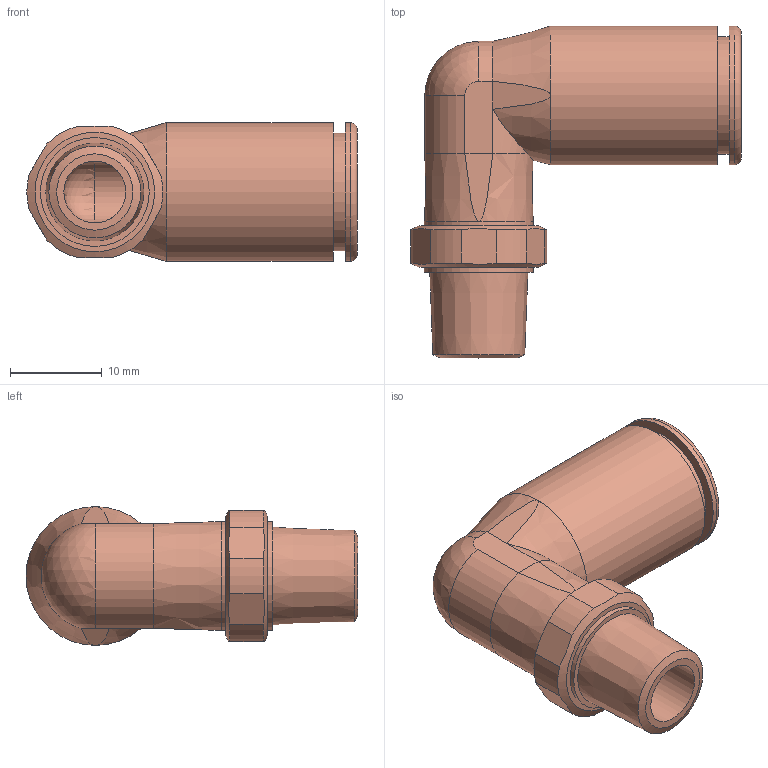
import cadquery as cq
import math


ELBOW_RADIUS = 5.9
FLAT_HALF_HEIGHT = 5.7
FLAT_HALF_WIDTH = math.sqrt(ELBOW_RADIUS**2 - FLAT_HALF_HEIGHT**2)
BORE_RADIUS = 3.37

SOCKET_RADIUS = 7.55
ARM_CONE_START = FLAT_HALF_WIDTH
ARM_CONE_END = 7.8
ARM_LENGTH = 28.55
FLANGE_WIDTH = 1.3
GROOVE_WIDTH = 1.3
GROOVE_RADIUS = 6.4
FLANGE_FILLET = 0.75
GROOVE_END = ARM_LENGTH - FLANGE_WIDTH
GROOVE_START = GROOVE_END - GROOVE_WIDTH

STEM_CONE_START = 6.33
STEM_CONE_END = 13.72
COLLAR_RADIUS = 5.92
NUT_START = 14.17
NUT_HEIGHT = 4.55
NUT_END = NUT_START + NUT_HEIGHT
COLLAR_STEP = 0.55
COLLAR_END = NUT_END + COLLAR_STEP
STEM_LENGTH = 28.57

NUT_ACROSS_FLATS = 14.3
NUT_CORNER_RADIUS = 7.4
NUT_FACE_RADIUS = 6.5
NUT_CHAMFER_HEIGHT = 0.45

THREAD_BASE_RADIUS = 5.33
THREAD_TIP_RADIUS = 5.0
TIP_FACE_RADIUS = 4.15
TIP_CHAMFER_HEIGHT = 0.35


def revolve_about_x(points):
    """Solid of revolution from (distance along +X, radius) points."""
    return cq.Workplane("XY").polyline(points).close().revolve(360, (0, 0, 0), (1, 0, 0))


def revolve_about_y(points):
    """Solid of revolution from (distance along -Y, radius) points."""
    outline = [(radius, -distance) for distance, radius in points]
    return cq.Workplane("XY").polyline(outline).close().revolve(360, (0, 0, 0), (0, 1, 0))


def flat_sided_slab(plane, cone_start, cone_end, end_half_height):
    """Slab with level sides up to cone_start that open out to end_half_height at cone_end."""
    upper = [
        (-ELBOW_RADIUS, FLAT_HALF_HEIGHT),
        (cone_start, FLAT_HALF_HEIGHT),
        (cone_end, end_half_height),
    ]
    lower = [(distance, -height) for distance, height in reversed(upper)]
    return (
        cq.Workplane(plane)
        .polyline(upper + lower)
        .close()
        .extrude(SOCKET_RADIUS, both=True)
    )


def make_arm_neck():
    neck = revolve_about_x([
        (0, 0),
        (0, ELBOW_RADIUS),
        (ARM_CONE_START, ELBOW_RADIUS),
        (ARM_CONE_END, SOCKET_RADIUS),
        (ARM_CONE_END, 0),
    ])
    return neck.intersect(flat_sided_slab("XZ", ARM_CONE_START, ARM_CONE_END, SOCKET_RADIUS))


def make_stem_neck():
    neck = revolve_about_y([
        (0, 0),
        (0, ELBOW_RADIUS),
        (STEM_CONE_START, ELBOW_RADIUS),
        (STEM_CONE_END, COLLAR_RADIUS),
        (STEM_CONE_END, 0),
    ])
    stem_plane = cq.Plane(origin=(0, 0, 0), xDir=(0, -1, 0), normal=(-1, 0, 0))
    return neck.intersect(flat_sided_slab(stem_plane, STEM_CONE_START, STEM_CONE_END, COLLAR_RADIUS))


def make_corner():
    ball = cq.Workplane("XY").sphere(ELBOW_RADIUS)
    slab = cq.Workplane("XY").box(2 * ELBOW_RADIUS, 2 * ELBOW_RADIUS, 2 * FLAT_HALF_HEIGHT)
    return ball.intersect(slab)


def make_socket():
    barrel = revolve_about_x([
        (ARM_CONE_END, 0),
        (ARM_CONE_END, SOCKET_RADIUS),
        (GROOVE_START, SOCKET_RADIUS),
        (GROOVE_START, GROOVE_RADIUS),
        (GROOVE_END, GROOVE_RADIUS),
        (GROOVE_END, SOCKET_RADIUS),
        (ARM_LENGTH, SOCKET_RADIUS),
        (ARM_LENGTH, 0),
    ])
    return barrel.faces(">X").edges().fillet(FLANGE_FILLET)


def make_collar_and_thread():
    return revolve_about_y([
        (STEM_CONE_END, 0),
        (STEM_CONE_END, COLLAR_RADIUS),
        (COLLAR_END, COLLAR_RADIUS),
        (COLLAR_END, THREAD_BASE_RADIUS),
        (STEM_LENGTH - TIP_CHAMFER_HEIGHT, THREAD_TIP_RADIUS),
        (STEM_LENGTH, TIP_FACE_RADIUS),
        (STEM_LENGTH, 0),
    ])


def make_nut():
    across_corners = NUT_ACROSS_FLATS / math.cos(math.radians(30))
    hexagon = (
        cq.Workplane("XZ", origin=(0, -NUT_START, 0))
        .polygon(6, across_corners)
        .extrude(NUT_HEIGHT)
    )
    rounding = revolve_about_y([
        (NUT_START, 0),
        (NUT_START, NUT_FACE_RADIUS),
        (NUT_START + NUT_CHAMFER_HEIGHT, NUT_CORNER_RADIUS),
        (NUT_END - NUT_CHAMFER_HEIGHT, NUT_CORNER_RADIUS),
        (NUT_END, NUT_FACE_RADIUS),
        (NUT_END, 0),
    ])
    return hexagon.intersect(rounding)


def make_bore():
    """L-shaped passage through both ends with a spherical corner."""
    stem_bore = cq.Workplane("XZ").circle(BORE_RADIUS).extrude(STEM_LENGTH)
    arm_bore = cq.Workplane("YZ").circle(BORE_RADIUS).extrude(ARM_LENGTH)
    corner = cq.Workplane("XY").sphere(BORE_RADIUS)
    return stem_bore.union(arm_bore).union(corner)


body = (
    make_corner()
    .union(make_arm_neck())
    .union(make_stem_neck())
    .union(make_socket())
    .union(make_collar_and_thread())
    .union(make_nut())
)
result = body.cut(make_bore())